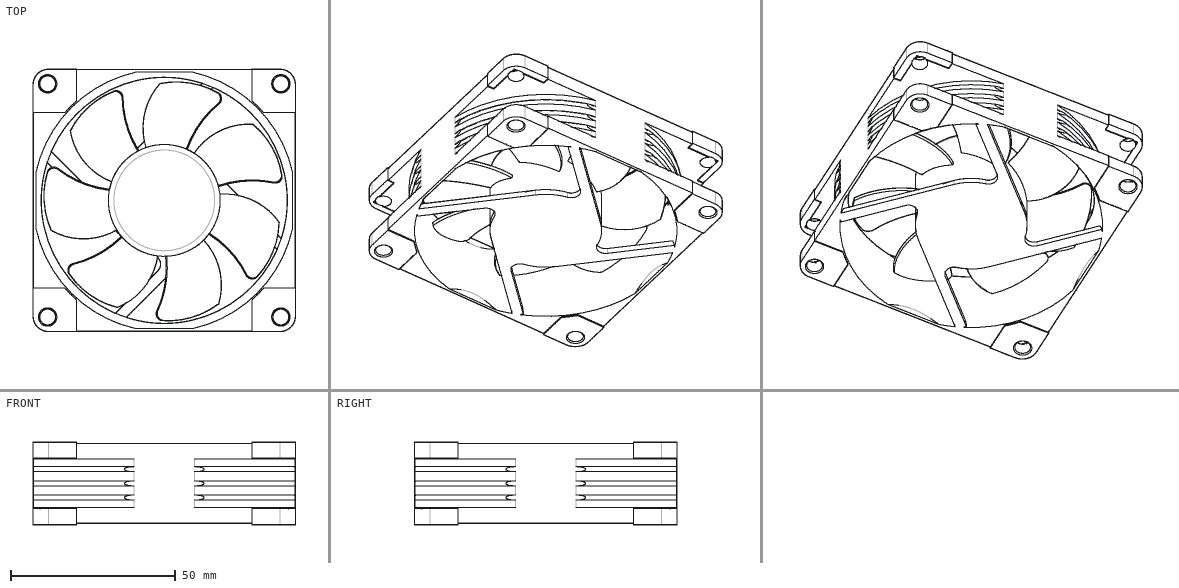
import cadquery as cq
import math

PAD_SIDE = 80.0
PAD_PROUD = 0.1
PAD_RISE = 0.4
FRAME_HEIGHT = 24.4
CORNER_RADIUS = 4.8
FLANGE_THICKNESS = 4.8
BARREL_RADIUS = 41.0
RIB_RADIUS = 0.76
RIB_PITCH = 4.3
RIB_COUNT = 3

THROAT_RADIUS = 37.4
MOUTH_RADIUS = 40.0
MOUTH_FLAT = 39.0

PAD_INNER = 26.7
PAD_ARC_RADIUS = 40.4
LIP_WIDTH = 2.3
LIP_DEPTH = 0.3
HOLE_SPACING = 71.0
HOLE_RADIUS = 2.4
HOLE_CHAMFER = 0.4

HUB_RADIUS = 17.0
HUB_FILLET = 1.7
MOUNT_THICKNESS = 1.9
STRUT_WIDTH = 3.3
STRUT_FILLET = 2.8
STRUT_COUNT = 4
STRUT_ANGLE = 45.0

BLADE_COUNT = 7
BLADE_TILT = 22.4
BLADE_THICKNESS = 1.0
BLADE_HEIGHT = 1.4
BLADE_ANGLE = -8.0
BLADE_CORNER = 2.0
HIGH_ROOT = (3.9, 13.6)
HIGH_EDGE_START = (4.9, 16.7)
HIGH_EDGE_MIDDLE = (7.4, 23.7)
HIGH_TIP = (15.3, 33.4)
TIP_MIDDLE = (0.6, 36.5)
LOW_TIP = (-6.7, 35.1)
LOW_EDGE_MIDDLE = (-10.5, 22.9)
LOW_ROOT = (-7.5, 13.6)

FRAME_SIDE = PAD_SIDE - 2 * PAD_PROUD
FRAME_TOP = FRAME_HEIGHT / 2
PAD_TOP = FRAME_TOP + PAD_RISE
FLANGE_INNER = FRAME_TOP - FLANGE_THICKNESS
MOUNT_TOP = MOUNT_THICKNESS - FRAME_TOP


def rounded_square(side, bottom, top, radius):
    block = cq.Workplane("XY").workplane(offset=bottom).rect(side, side).extrude(top - bottom)
    return block.edges("|Z").fillet(radius)


def disc(radius, bottom, top):
    return cq.Workplane("XY").workplane(offset=bottom).circle(radius).extrude(top - bottom)


def corner_blocks(bottom, top):
    """Four square blocks that cover the corners outside the pad ends."""
    width = PAD_SIDE - PAD_INNER
    centre = PAD_INNER + width / 2
    places = [(sx * centre, sy * centre) for sx in (-1, 1) for sy in (-1, 1)]
    layer = cq.Workplane("XY").workplane(offset=bottom)
    return layer.pushPoints(places).rect(width, width).extrude(top - bottom)


def ribbed_barrel():
    barrel = disc(BARREL_RADIUS, -FLANGE_INNER, FLANGE_INNER)
    for index in range(RIB_COUNT):
        height = (index - (RIB_COUNT - 1) / 2) * RIB_PITCH
        rib = cq.Solid.makeTorus(BARREL_RADIUS, RIB_RADIUS, cq.Vector(0, 0, height))
        barrel = barrel.union(cq.Workplane(rib))
    return barrel


def housing_shell():
    """Square frame whose corners are cut back to the ribbed barrel between the flanges."""
    frame = rounded_square(FRAME_SIDE, -FRAME_TOP, FRAME_TOP, CORNER_RADIUS)
    gap = rounded_square(FRAME_SIDE, -FLANGE_INNER, FLANGE_INNER, CORNER_RADIUS)
    return frame.cut(gap).union(gap.intersect(ribbed_barrel()))


def upper_pads():
    """Four raised corner pads of the upper flange."""
    bottom = FLANGE_INNER + LIP_DEPTH
    pads = rounded_square(PAD_SIDE, bottom, PAD_TOP, CORNER_RADIUS)
    pads = pads.intersect(corner_blocks(bottom, PAD_TOP))
    return pads.cut(disc(PAD_ARC_RADIUS, bottom, PAD_TOP))


def upper_lips():
    """L-shaped steps along the inner edges of the upper corners, to be cut away."""
    top = FLANGE_INNER + LIP_DEPTH
    inner_side = PAD_SIDE - 2 * LIP_WIDTH
    layer = cq.Workplane("XY").workplane(offset=FLANGE_INNER)
    core = layer.rect(inner_side, inner_side).extrude(LIP_DEPTH)
    return corner_blocks(FLANGE_INNER, top).cut(core)


def air_duct():
    """Duct narrowing in one arc from each mouth to the throat, with flat-sided mouths."""
    duct = (
        cq.Workplane("XZ")
        .moveTo(0, -FRAME_TOP)
        .lineTo(MOUTH_RADIUS, -FRAME_TOP)
        .threePointArc((THROAT_RADIUS, 0), (MOUTH_RADIUS, FRAME_TOP))
        .lineTo(0, FRAME_TOP)
        .close()
        .revolve(360, (0, 0), (0, 1))
    )
    limit = cq.Workplane("XY").box(2 * MOUTH_FLAT, 2 * MOUTH_FLAT, FRAME_HEIGHT)
    return duct.intersect(limit)


def screw_hole(x, y):
    """Through hole with its axis at (x, y), chamfered at both outer ends."""
    pin = disc(HOLE_RADIUS, -PAD_TOP, PAD_TOP)
    cone = cq.Solid.makeCone(HOLE_RADIUS, HOLE_RADIUS + HOLE_CHAMFER, HOLE_CHAMFER)
    mouth = cq.Workplane(cone).translate((0, 0, PAD_TOP - HOLE_CHAMFER))
    return pin.union(mouth).union(mouth.mirror("XY")).translate((x, y, 0))


def strut():
    """Strut along +X, its outer side tangent to the motor mount and its inner corner rounded."""
    inner = HUB_RADIUS - STRUT_WIDTH
    arc_y = inner - STRUT_FILLET
    reach = HUB_RADIUS + STRUT_FILLET
    arc_x = math.sqrt(reach**2 - arc_y**2)
    mount_touch = (arc_x * HUB_RADIUS / reach, arc_y * HUB_RADIUS / reach)
    touch_angle = math.pi + math.atan2(arc_y, arc_x)
    middle_angle = (math.pi / 2 + touch_angle) / 2
    middle = (arc_x + STRUT_FILLET * math.cos(middle_angle), arc_y + STRUT_FILLET * math.sin(middle_angle))
    end_x = math.sqrt(BARREL_RADIUS**2 - HUB_RADIUS**2)
    return (
        cq.Workplane("XY")
        .workplane(offset=-FRAME_TOP)
        .moveTo(0, HUB_RADIUS)
        .lineTo(end_x, HUB_RADIUS)
        .lineTo(end_x, inner)
        .lineTo(arc_x, inner)
        .threePointArc(middle, mount_touch)
        .lineTo(0, 0)
        .close()
        .extrude(MOUNT_THICKNESS)
    )


def motor_mount():
    mount = disc(HUB_RADIUS, -FRAME_TOP, MOUNT_TOP)
    for index in range(STRUT_COUNT):
        angle = STRUT_ANGLE + index * 360 / STRUT_COUNT
        mount = mount.union(strut().rotate((0, 0, 0), (0, 0, 1), angle))
    return mount


def make_frame():
    pads = upper_pads()
    lips = upper_lips()
    frame = housing_shell().union(pads).union(pads.mirror("XY"))
    frame = frame.cut(lips).cut(lips.mirror("XY")).cut(air_duct())
    for x in (-HOLE_SPACING / 2, HOLE_SPACING / 2):
        for y in (-HOLE_SPACING / 2, HOLE_SPACING / 2):
            frame = frame.cut(screw_hole(x, y))
    return frame.union(motor_mount())


def make_hub():
    return disc(HUB_RADIUS, MOUNT_TOP, FRAME_TOP).faces(">Z").edges().fillet(HUB_FILLET)


def make_blade(hub):
    """First blade: its plate is drawn flat, tilted about its long axis and trimmed by the hub."""
    plate = (
        cq.Workplane("XY")
        .moveTo(*HIGH_ROOT)
        .lineTo(*HIGH_EDGE_START)
        .threePointArc(HIGH_EDGE_MIDDLE, HIGH_TIP)
        .threePointArc(TIP_MIDDLE, LOW_TIP)
        .threePointArc(LOW_EDGE_MIDDLE, LOW_ROOT)
        .close()
        .extrude(-BLADE_THICKNESS)
    )
    tip_corner = cq.selectors.NearestToPointSelector((*HIGH_TIP, -BLADE_THICKNESS / 2))
    plate = plate.edges("|Z").edges(tip_corner).fillet(BLADE_CORNER)
    plate = plate.rotate((0, 0, 0), (0, 1, 0), -BLADE_TILT)
    plate = plate.translate((0, 0, BLADE_HEIGHT))
    plate = plate.rotate((0, 0, 0), (0, 0, 1), BLADE_ANGLE)
    return plate.cut(hub)


frame = make_frame()
hub = make_hub()
first_blade = make_blade(hub)
blades = [
    first_blade.rotate((0, 0, 0), (0, 0, 1), index * 360 / BLADE_COUNT).val()
    for index in range(BLADE_COUNT)
]

result = cq.Compound.makeCompound([frame.val(), hub.val(), *blades])